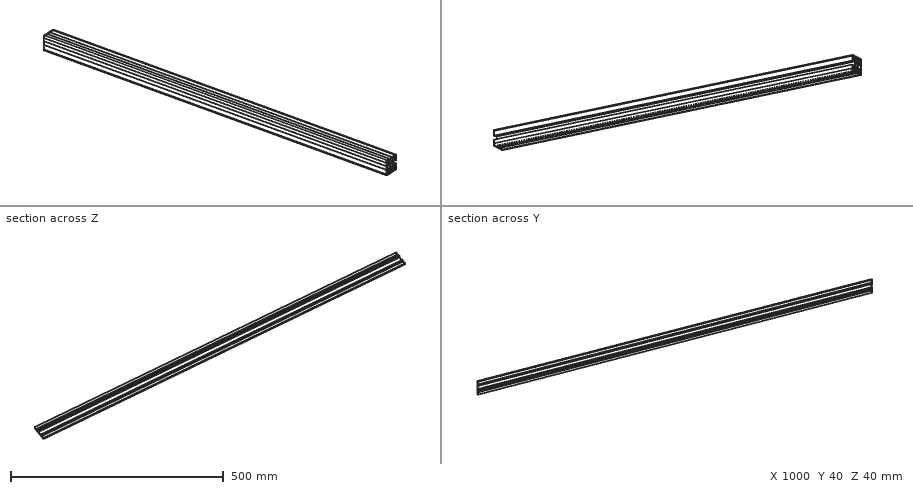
import math

import cadquery as cq


length = 1000.0
side = 40.0
corner_radius = 3.0
core_bore_diameter = 10.0

skin_thickness = 1.5
mouth_width = 10.0
lip_tip_depth = 5.5
lip_tip_width = 1.0
lip_recess_depth = 4.5
lip_recess_width = 15.0
lip_groove_width = 14.0
cavity_width = 20.0
cavity_wall_start_depth = 6.5
slot_depth = 12.5
web_thickness = 1.4

chamber_size = 5.0
chamber_wall = 2.0
chamber_radius = 1.0

half_side = side / 2


def extruded(section):
    """Extrude a YZ section over the full length, centred on the origin."""
    return section.extrude(length / 2, both=True)


def square_bar():
    """Solid square bar with rounded long edges."""
    bar = extruded(cq.Workplane("YZ").rect(side, side))
    return bar.edges("|X").fillet(corner_radius)


def core_bore():
    """Round bore through the centre of the section."""
    return extruded(cq.Workplane("YZ").circle(core_bore_diameter / 2))


def slot_cutter(start_depth, turn):
    """T-slot below the +Y face, turned about the X axis by `turn` degrees."""
    lip_tip = half_side - lip_tip_depth
    lip_recess = half_side - lip_recess_depth
    floor = half_side - slot_depth
    half_mouth = mouth_width / 2
    half_cavity = cavity_width / 2
    web_offset = web_thickness / math.sqrt(2)
    upper_half = [
        (half_side - start_depth, half_mouth),
        (lip_tip, half_mouth),
        (lip_tip, half_mouth + lip_tip_width),
        (lip_recess, lip_groove_width / 2),
        (lip_recess, lip_recess_width / 2),
        (half_side - cavity_wall_start_depth, half_cavity),
        (half_cavity + web_offset, half_cavity),
        (floor, floor - web_offset),
    ]
    lower_half = [(y, -z) for y, z in reversed(upper_half)]
    cutter = extruded(cq.Workplane("YZ").polyline(upper_half + lower_half).close())
    return cutter.rotate((0, 0, 0), (1, 0, 0), turn)


def corner_chambers():
    """Four rounded square chambers, one inside each corner of the bar."""
    spacing = side - 2 * chamber_wall - chamber_size
    centres = cq.Workplane("YZ").rect(spacing, spacing, forConstruction=True).vertices()
    chambers = extruded(centres.rect(chamber_size, chamber_size))
    return chambers.edges("|X").fillet(chamber_radius)


result = square_bar().cut(core_bore()).cut(corner_chambers())
result = result.cut(slot_cutter(0.0, 0))
for turn in (90, 180, 270):
    result = result.cut(slot_cutter(skin_thickness, turn))